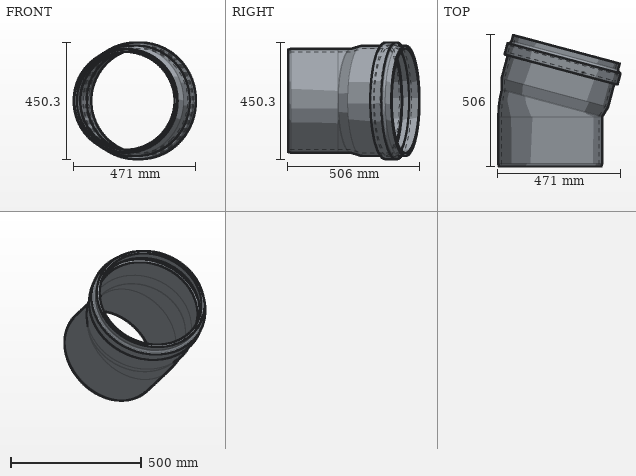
import cadquery as cq
import math


pipe_outer_dia = 400.5
pipe_bore_dia = 375.5
spigot_length = 191.2
spigot_chamfer_length = 12.0
spigot_chamfer_angle = 15.0

bend_angle = 15.0
bend_radius = pipe_outer_dia / 2 + 0.25

socket_wall = 11.3
socket_bore_dia = 402.1
ridge_outer_dia = 450.3
collar_length = 1.8
flare_end = 42.3
ridge_start = 134.3
ridge_end = 179.4
socket_length = 215.3
ridge_corner_radius = 4.0
shoulder_slope = 25.0
shoulder_fillet = 10.0
groove_edge_fillet = 3.0

pipe_outer_radius = pipe_outer_dia / 2
pipe_bore_radius = pipe_bore_dia / 2
socket_bore_radius = socket_bore_dia / 2
socket_outer_radius = socket_bore_radius + socket_wall
ridge_outer_radius = ridge_outer_dia / 2
groove_radius = ridge_outer_radius - socket_wall


def revolve_about_y(profile):
    """Turn a closed (radius, height) profile into a full ring about the Y axis."""
    return profile.close().revolve(360, (0, 0, 0), (0, 1, 0))


def make_spigot():
    """Straight pipe with a long, shallow chamfer on its free end."""
    chamfer_depth = spigot_chamfer_length * math.tan(math.radians(spigot_chamfer_angle))
    profile = (
        cq.Workplane("XY")
        .moveTo(pipe_bore_radius, 0)
        .lineTo(pipe_outer_radius - chamfer_depth, 0)
        .lineTo(pipe_outer_radius, spigot_chamfer_length)
        .lineTo(pipe_outer_radius, spigot_length)
        .lineTo(pipe_bore_radius, spigot_length)
    )
    return revolve_about_y(profile)


def make_bend():
    """Pipe ring swept through the bend angle, starting at the end of the spigot."""
    return (
        cq.Workplane("XZ", origin=(0, spigot_length, 0))
        .circle(pipe_outer_radius)
        .circle(pipe_bore_radius)
        .revolve(bend_angle, (bend_radius, 1, 0), (bend_radius, 0, 0))
    )


def make_socket():
    """Flared socket, with a ridge outside and a sealing groove inside."""
    slope = math.radians(shoulder_slope)
    turn = math.pi / 2 - slope

    def blend(start_radius, start_height, end_radius, fillet):
        """Points of a shoulder: end of its slope, middle of its fillet, end of its fillet."""
        centre_radius = end_radius + fillet
        foot_radius = centre_radius - fillet * math.cos(turn)
        foot = start_height + (start_radius - foot_radius) * math.tan(slope)
        centre = foot + fillet * math.sin(turn)
        middle_radius = centre_radius - fillet * math.cos(turn / 2)
        middle = centre - fillet * math.sin(turn / 2)
        return (foot_radius, foot), (middle_radius, middle), (end_radius, centre)

    groove_start = ridge_start + socket_wall
    slope_shift = socket_wall / math.cos(slope) - socket_wall * math.tan(slope)
    groove_end = ridge_end - slope_shift
    outer_foot, outer_middle, outer_top = blend(
        ridge_outer_radius, ridge_end, socket_outer_radius, shoulder_fillet
    )
    inner_foot, inner_middle, inner_top = blend(
        groove_radius, groove_end, socket_bore_radius, groove_edge_fillet
    )

    flare_angle = math.atan2(socket_outer_radius - pipe_outer_radius, flare_end - collar_length)
    inner_flare_end = flare_end + socket_wall * math.tan(flare_angle / 2)

    profile = (
        cq.Workplane("XY")
        .moveTo(pipe_bore_radius, 0)
        .lineTo(pipe_outer_radius, 0)
        .lineTo(pipe_outer_radius, collar_length)
        .lineTo(socket_outer_radius, flare_end)
        .lineTo(socket_outer_radius, ridge_start)
        .lineTo(ridge_outer_radius - ridge_corner_radius, ridge_start)
        .radiusArc((ridge_outer_radius, ridge_start + ridge_corner_radius), -ridge_corner_radius)
        .lineTo(ridge_outer_radius, ridge_end)
        .lineTo(*outer_foot)
        .threePointArc(outer_middle, outer_top)
        .lineTo(socket_outer_radius, socket_length)
        .lineTo(socket_bore_radius, socket_length)
        .lineTo(*inner_top)
        .threePointArc(inner_middle, inner_foot)
        .lineTo(groove_radius, groove_end)
        .lineTo(groove_radius, groove_start)
        .lineTo(socket_bore_radius, groove_start)
        .lineTo(socket_bore_radius, inner_flare_end)
        .lineTo(pipe_bore_radius, collar_length)
    )
    return revolve_about_y(profile)


def place_on_bend_end(socket):
    """Move the socket from the origin to the far end of the bend."""
    return socket.translate((0, spigot_length, 0)).rotate(
        (bend_radius, spigot_length, 0), (bend_radius, spigot_length, 1), -bend_angle
    )


result = make_spigot().union(make_bend()).union(place_on_bend_end(make_socket()))